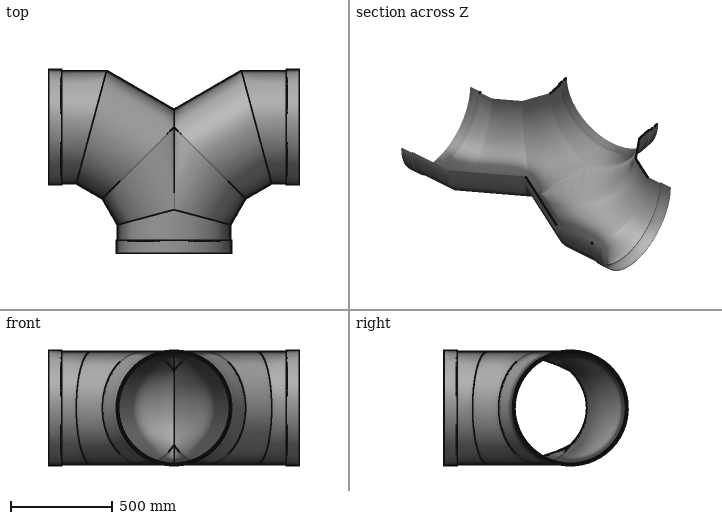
import cadquery as cq
import math


collar_diameter = 572.0
tube_diameter = 560.0
tube_bore = 548.0
half_span = 620.0
leg_reach = 625.0
collar_length = 65.0
tube_insertion = 5.0
bend_radius = 558.0
gore_angle = 30.0

arm_collar_start = half_span - collar_length
leg_collar_start = leg_reach - collar_length
arm_end = arm_collar_start + tube_insertion
leg_end = leg_collar_start + tube_insertion
miter_angle = gore_angle / 2
reach = 4 * bend_radius


def tube(start, direction, length, outside, inside):
    """Open pipe in the XY plane, from its start point along a direction."""
    plane = cq.Plane(origin=start, xDir=(0, 0, 1), normal=direction)
    return cq.Workplane(plane).circle(outside / 2).circle(inside / 2).extrude(length)


def miter_wedge(start_angle, end_angle):
    """Wedge around the left bend's centre, between two angles from +X."""
    corners = [(-bend_radius, -bend_radius)]
    for angle in (start_angle, end_angle):
        x = -bend_radius + reach * math.cos(math.radians(angle))
        y = -bend_radius + reach * math.sin(math.radians(angle))
        corners.append((x, y))
    return cq.Workplane("XY").polyline(corners).close().extrude(collar_diameter, both=True)


def left_half_space():
    """Block filling the side x < 0 of the symmetry plane."""
    return cq.Workplane("XY").box(reach, reach, reach).translate((-reach / 2, 0, 0))


def full_gore(middle_angle):
    """Mitered gore of the left bend, trimmed at the symmetry plane."""
    cosine = math.cos(math.radians(middle_angle))
    sine = math.sin(math.radians(middle_angle))
    direction = (-sine, cosine, 0)
    start = (
        -bend_radius + bend_radius * cosine + bend_radius * sine,
        -bend_radius + bend_radius * sine - bend_radius * cosine,
        0,
    )
    pipe = tube(start, direction, 2 * bend_radius, tube_diameter, tube_bore)
    wedge = miter_wedge(middle_angle - miter_angle, middle_angle + miter_angle)
    return pipe.intersect(wedge).intersect(left_half_space())


def crotch_body():
    """Four full gores joined into the forked centre of the fitting."""
    left_side = full_gore(gore_angle).union(full_gore(2 * gore_angle))
    return left_side.union(left_side.mirror("YZ"))


def arm(side):
    """Mitered end of an arm: side is -1 for left and +1 for right."""
    pipe = tube((-arm_end, 0, 0), (1, 0, 0), arm_end, tube_diameter, tube_bore)
    miter_side = miter_wedge(90 - miter_angle, 90 + 2 * miter_angle)
    piece = pipe.intersect(miter_side)
    return piece if side < 0 else piece.mirror("YZ")


def leg():
    """Shared leg with a miter toward each bend, forming a roof-shaped end."""
    pipe = tube((0, -leg_end, 0), (0, 1, 0), leg_end, tube_diameter, tube_bore)
    left_side = pipe.intersect(miter_wedge(-miter_angle, miter_angle)).intersect(left_half_space())
    return left_side.union(left_side.mirror("YZ")).clean()


def collar(start, direction):
    """End ring whose bore matches the outside of the tube."""
    return tube(start, direction, collar_length, collar_diameter, tube_diameter)


crotch = crotch_body()
arms = [arm(side) for side in (-1, 1)]
shared_leg = leg()

collar_places = [
    ((-arm_collar_start, 0, 0), (-1, 0, 0)),
    ((arm_collar_start, 0, 0), (1, 0, 0)),
    ((0, -leg_collar_start, 0), (0, -1, 0)),
]
collars = [collar(start, direction) for start, direction in collar_places]

result = cq.Compound.makeCompound([
    *crotch.solids().vals(),
    *shared_leg.solids().vals(),
    *[piece.solids().val() for piece in arms],
    *[ring.val() for ring in collars],
])